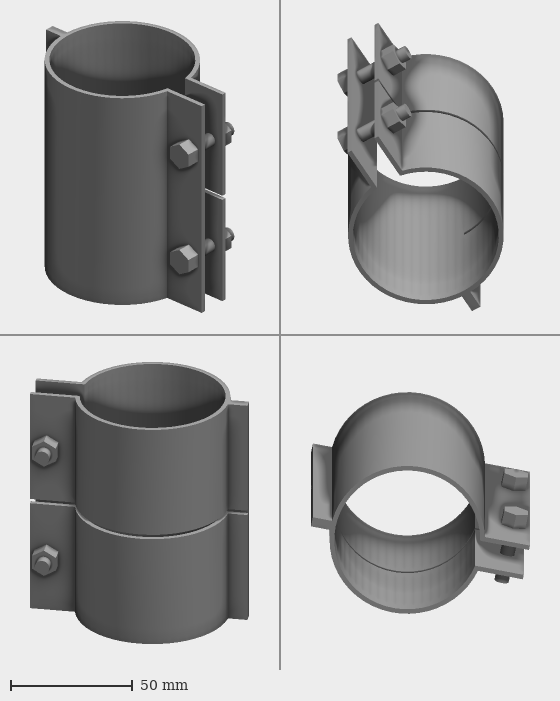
import cadquery as cq
import math

height = 98.0
wall = 2.0
outer_diameter = 64.0
outer_radius = outer_diameter / 2
inner_radius = outer_radius - wall

flange_end = 50.0
gap = 11.0
flange_outer_y = gap / 2 + wall

fin_end = 40.0
fin_thickness = 4.0

slit_width = 2.0

bolt_diameter = 6.0
bolt_x = 43.0
bolt_spacing = 50.0
hex_across_flats = 10.0
hex_height = 6.0
bolt_tip_length = 4.0


def make_sleeve():
    """Tube with fin and flanges, open between the flanges."""
    tube = cq.Workplane("XY").circle(outer_radius).extrude(height)
    flanges = cq.Workplane("XY").box(
        flange_end, 2 * flange_outer_y, height, centered=(False, True, False)
    )
    fin = (
        cq.Workplane("XY")
        .box(fin_end, fin_thickness, height, centered=(False, True, False))
        .translate((-fin_end, 0, 0))
    )
    bore = cq.Workplane("XY").circle(inner_radius).extrude(height)
    opening = cq.Workplane("XY").box(flange_end, gap, height, centered=(False, True, False))
    return tube.union(flanges).union(fin).cut(bore).cut(opening)


def make_slit():
    """Cutter that parts the +Y half at mid height, ending inside the fin."""
    slit_length = fin_end + flange_end
    return (
        cq.Workplane("XY")
        .box(slit_length, outer_radius + wall, slit_width, centered=(False, False, True))
        .translate((-fin_end, 0, height / 2))
    )


def along_y(z, start_y):
    """Workplane on a bolt axis, facing +Y."""
    return cq.Workplane("XZ", origin=(bolt_x, start_y, z)).transformed(rotate=(180, 0, 0))


def make_hexagon(z, start_y):
    """Hexagonal head or nut with two corners pointing along Z."""
    across_corners = hex_across_flats / math.cos(math.pi / 6)
    return along_y(z, start_y).transformed(rotate=(0, 0, 90)).polygon(6, across_corners).extrude(hex_height)


def make_bolt(z):
    """Bolt with its head on the -Y flange and its nut on the +Y flange."""
    shank_length = 2 * flange_outer_y + hex_height + bolt_tip_length
    shank = along_y(z, -flange_outer_y).circle(bolt_diameter / 2).extrude(shank_length)
    head = make_hexagon(z, -flange_outer_y - hex_height)
    nut = make_hexagon(z, flange_outer_y)
    return shank.union(head).union(nut)


result = make_sleeve().cut(make_slit())
for side in (-1, 1):
    result = result.union(make_bolt(height / 2 + side * bolt_spacing / 2))